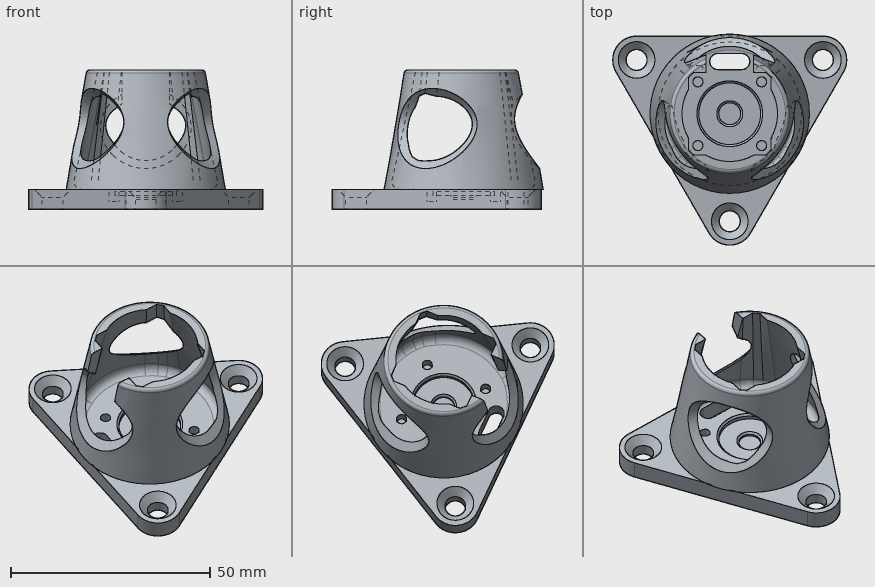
import cadquery as cq
import math

plate_thickness = 5.0
corner_pitch_radius = 27.0
corner_radius = 6.0
corner_angles = (30, 150, 270)
screw_diameter = 5.2
screw_head_diameter = 9.2
screw_sink_angle = 90.0

total_height = 35.0
tower_base_radius = 20.0
tower_top_radius = 14.85
rim_fillet = 1.0

cavity_rim_radius = 12.0
cavity_rim_square = 20.7
cavity_rim_corner_radius = 13.75
cavity_floor_radius = 18.5
cavity_floor_fillet = 2.0

window_count = 3
window_width = 48.0
window_height = 25.0
window_center_z = 21.9
window_apex_distance = 6.5
window_start_offset = 0.5

rim_slot_width = 11.9

seat_diameter = 15.5
seat_depth = 1.5
bore_diameter = 5.5
bore_depth = 1.0
edge_chamfer = 0.5

pin_diameter = 2.5
pin_spacing = 16.0
pin_depth = 3.0
cable_slot_length = 10.0
cable_slot_width = 4.0
cable_slot_y = 13.1

tower_height = total_height - plate_thickness


def floor_plane(z=plate_thickness):
    return cq.Workplane("XY", origin=(0, 0, z))


def corner_points():
    angles = [math.radians(angle) for angle in corner_angles]
    return [(corner_pitch_radius * math.cos(a), corner_pitch_radius * math.sin(a)) for a in angles]


def base_plate():
    outline = cq.Workplane("XY").polyline(corner_points()).close().offset2D(corner_radius)
    return outline.extrude(plate_thickness)


def tower():
    base = floor_plane().circle(tower_base_radius)
    cone = base.workplane(offset=tower_height).circle(tower_top_radius).loft()
    return cone.faces(">Z").edges().fillet(rim_fillet)


def cavity():
    rim_shape = (
        cq.Sketch()
        .rect(cavity_rim_square, cavity_rim_square)
        .circle(cavity_rim_corner_radius, mode="i")
        .circle(cavity_rim_radius)
        .clean()
    )
    rim_face = rim_shape.faces().val()
    rim_wire = rim_face.outerWire().translate(cq.Vector(0, 0, total_height))
    floor_wire = floor_plane().circle(cavity_floor_radius).wires().val()
    solid = cq.Solid.makeLoft([floor_wire, rim_wire])
    return cq.Workplane(obj=solid).faces("<Z").edges().fillet(cavity_floor_fillet)


def window():
    """Elliptical cone pointing from +Y toward the tower axis."""
    full_reach = tower_base_radius - window_apex_distance
    shrink = window_start_offset / full_reach
    outer_radii = (window_width / 2, window_height / 2)
    inner_radii = [radius * shrink for radius in outer_radii]
    inner_y = window_apex_distance + window_start_offset
    inner = cq.Workplane("XZ", origin=(0, inner_y, window_center_z)).ellipse(*inner_radii)
    return inner.workplane(offset=inner_y - tower_base_radius).ellipse(*outer_radii).loft()


def rim_slot():
    slot_height = total_height - window_center_z
    block = floor_plane(window_center_z).box(
        rim_slot_width, tower_base_radius, slot_height, centered=(True, False, False)
    )
    return block


def chamfered_recess(diameter, depth, top_z):
    recess = floor_plane(top_z - depth).circle(diameter / 2).extrude(depth)
    lead_in = (
        floor_plane(top_z - edge_chamfer)
        .circle(diameter / 2)
        .workplane(offset=edge_chamfer)
        .circle(diameter / 2 + edge_chamfer)
        .loft()
    )
    return recess.union(lead_in)


def pin_holes():
    centers = floor_plane().rect(pin_spacing, pin_spacing, forConstruction=True).vertices()
    return centers.circle(pin_diameter / 2).extrude(-pin_depth)


def cable_slot():
    outline = cq.Workplane("XY").center(0, cable_slot_y).slot2D(cable_slot_length, cable_slot_width)
    return outline.extrude(plate_thickness)


body = base_plate().union(tower()).cut(cavity())
for index in range(window_count):
    body = body.cut(window().rotate((0, 0, 0), (0, 0, 1), index * 360 / window_count))
body = body.cut(rim_slot())
body = body.cut(chamfered_recess(seat_diameter, seat_depth, plate_thickness))
body = body.cut(chamfered_recess(bore_diameter, bore_depth, plate_thickness - seat_depth))
body = body.cut(pin_holes())
body = body.cut(cable_slot())

screw_plane = body.copyWorkplane(floor_plane())
result = screw_plane.pushPoints(corner_points()).cskHole(
    screw_diameter, screw_head_diameter, screw_sink_angle
)